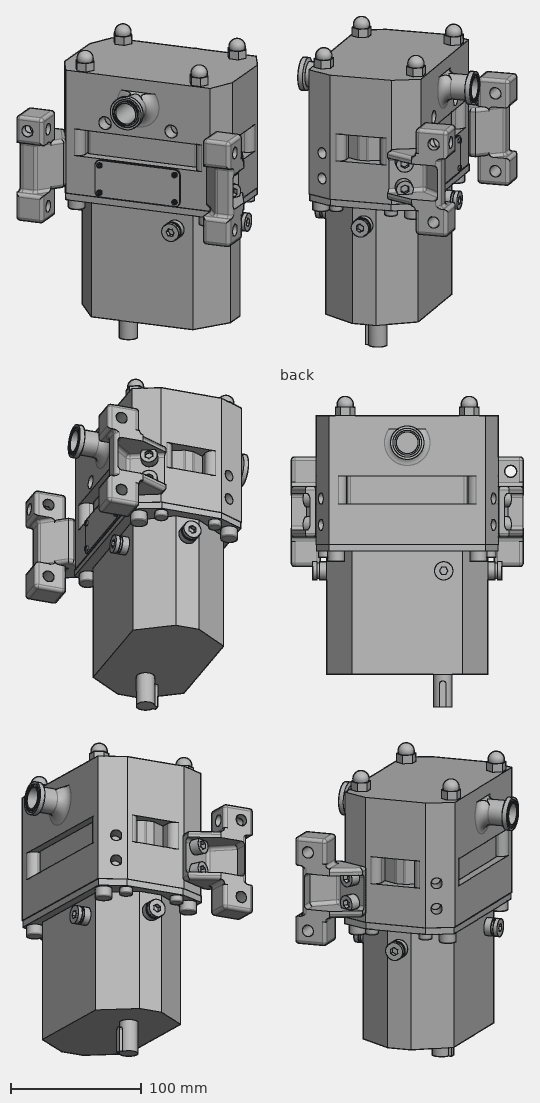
import cadquery as cq
import math


HEAD_HALF_X = 69.75
HEAD_HALF_Y = 45.0
HEAD_FRONT_HALF_X = 60.0
HEAD_SIDE_HALF_Y = 24.7
HEAD_TOP = 103.7
FLANGE_THICKNESS = 5.2
FLANGE_HALF_X = 69.5
FLANGE_SIDE_FRONT_Y = -24.1
FLANGE_FRONT_Y = -45.5
FLANGE_BACK_Y = 44.4

GEARBOX_HALF_X = 61.6
GEARBOX_HALF_Y = 37.2
GEARBOX_FRONT_HALF_X = 42.2
GEARBOX_SIDE_HALF_Y = 9.5
GEARBOX_LENGTH = 94.2
SHAFT_X = -27.2
SHAFT_DIAMETER = 14.3
SHAFT_LENGTH = 25.0
KEY_WIDTH = 5.0
KEY_LENGTH = 20.0
KEY_TOP_Y = 9.2

WINDOW_BOTTOM = 36.1
WINDOW_TOP = 57.4
FRONT_WINDOW_HALF = 52.7
SIDE_WINDOW_HALF = 20.0
WINDOW_ROUND = 6.3
CORE_HALF_X = 62.5
CORE_HALF_Y = 37.2
CORE_FRONT_HALF_X = 45.0
CORE_SIDE_HALF_Y = 3.6
CORE_OFFSET_Y = 1.0
CORE_EDGE_RADIUS = 2.5

FACE_HOLE_X = 27.5
FACE_HOLE_Z = 65.2
FACE_HOLE_DIAMETER = 10.2
FACE_HOLE_DEPTH = 12.0
PLATE_LENGTH = 70.2
PLATE_HEIGHT = 29.6
PLATE_Z = 20.5
PLATE_THICKNESS = 1.4
PLATE_CORNER_RADIUS = 4.0
PLATE_SCREW_X = 31.2
PLATE_SCREW_DZ = 10.9
PLATE_SCREW_DIAMETER = 4.0
PLATE_SCREW_HEIGHT = 1.4
PLATE_SCREW_HEX = 2.0
PLATE_SCREW_HEX_DEPTH = 1.0

PORT_Z = 83.0
PORT_REACH = 69.05
PORT_TUBE_RADIUS = 9.8
PORT_BORE_RADIUS = 8.3
PORT_BORE_DEPTH = 35.0
PORT_FLARE_RADIUS = 7.6
PORT_FLARE_TOP = 10.4
CLAMP_RADIUS = 12.8
CLAMP_RIM = 3.9
CLAMP_TAPER = 1.0
CLAMP_GROOVE_OUTER = 11.0
CLAMP_GROOVE_INNER = 9.5
CLAMP_GROOVE_DEPTH = 1.2

NUT_X = 47.45
BOLT_ROW_Y = 37.0
NUT_FLATS = 13.0
NUT_HEX_HEIGHT = 6.6
NUT_DOME_RADIUS = 6.3
NUT_HEIGHT = 14.8
LARGE_BOLT_X = 54.4
LARGE_BOLT_DIAMETER = 13.0
LARGE_BOLT_HEIGHT = 8.0
SMALL_BOLT_X = 63.0
SMALL_BOLT_Y = 22.0
SMALL_BOLT_DIAMETER = 10.0
SMALL_BOLT_HEIGHT = 5.0
BOLT_EDGE_RADIUS = 0.8
PLUG_X = 27.9
PLUG_Z = -15.0
PLUG_DIAMETER = 14.0
PLUG_REACH = 10.8
PLUG_NECK_DIAMETER = 12.0
PLUG_NECK_START = 5.5
PLUG_NECK_END = 7.3
PLUG_HEX = 6.4
PLUG_HEX_DEPTH = 4.0

FOOT_BOLT_Y = 32.4
FOOT_BOLT_DZ = 10.05
FOOT_BOLT_DIAMETER = 8.5
FOOT_BOLT_DEPTH = 15.0
FOOT_BOLT_HEAD_DIAMETER = 13.0
FOOT_BOLT_HEAD_HEIGHT = 8.0
FOOT_BOLT_HEX = 6.9
FOOT_BOLT_HEX_DEPTH = 4.0

FOOT_MID_Z = 30.2
FOOT_OUTER_X = -88.8
ARM_HALF_HEIGHT = 19.4
ARM_TIP_X = -78.0
ARM_TIP_Y = -23.9
ARM_SHOULDER_Y = -46.8
ARM_NOSE_X = -59.3
ARM_NOSE_Y = -50.9
ARM_FRONT_X = -74.9
ARM_FRONT_Y = -69.6
ARM_EDGE_RADIUS = 2.8
ARM_CORNER_RADIUS = 3.5
POCKET_HALF_HEIGHT = 14.0
POCKET_WALL = 4.0
POCKET_OBLIQUE_WALL = 3.2
POCKET_FRONT_WALL = 2.3
POCKET_RADIUS = 3.0
BLOCK_INNER_X = -66.4
BLOCK_BACK_Y = -49.7
BLOCK_FRONT_Y = -75.26
BLOCK_TOP = 42.05
BLOCK_UNDERSIDE = 20.0
BLOCK_RADIUS = 2.8
LEG_RADIUS = 2.4
BLOCK_HOLE_DIAMETER = 9.0
BLOCK_HOLE_Y = -64.4
BLOCK_HOLE_DZ = 30.9
FRONT_HOLE_X = -79.1


def octagon(half_x, half_y, flat_half_x, flat_half_y):
    """Corner points of a rectangle with its four corners cut off."""
    return [
        (-flat_half_x, -half_y), (flat_half_x, -half_y),
        (half_x, -flat_half_y), (half_x, flat_half_y),
        (flat_half_x, half_y), (-flat_half_x, half_y),
        (-half_x, flat_half_y), (-half_x, -flat_half_y),
    ]


def prism(points, bottom, top):
    """Upright prism over a closed outline between two heights."""
    return cq.Workplane("XY").workplane(offset=bottom).polyline(points).close().extrude(top - bottom)


SLANT_X = HEAD_HALF_X - HEAD_FRONT_HALF_X
SLANT_Y = HEAD_HALF_Y - HEAD_SIDE_HALF_Y
SLANT_LENGTH = math.hypot(SLANT_X, SLANT_Y)
SLANT_NORMAL = (-SLANT_Y / SLANT_LENGTH, -SLANT_X / SLANT_LENGTH)


def slant_x(y):
    """X of the slanted front left face, carried on in a straight line, at a given Y."""
    return -HEAD_FRONT_HALF_X - SLANT_X * (y + HEAD_HALF_Y) / SLANT_Y


def foot_bolt_planes():
    """Planes on the front left slanted face, facing outward, one for each foot bolt."""
    return [
        cq.Plane(
            origin=(slant_x(-FOOT_BOLT_Y), -FOOT_BOLT_Y, FOOT_MID_Z + dz),
            xDir=(0, 0, 1),
            normal=(SLANT_NORMAL[0], SLANT_NORMAL[1], 0),
        )
        for dz in (-FOOT_BOLT_DZ, FOOT_BOLT_DZ)
    ]


def foot_bolt_shank(plane):
    return cq.Workplane(plane).circle(FOOT_BOLT_DIAMETER / 2).extrude(-FOOT_BOLT_DEPTH)


def window(half_width, face_distance):
    """Window cutter entering from -Y, its end walls rounded outward where they meet the face."""
    inner = half_width - WINDOW_ROUND
    start = -face_distance
    return (
        cq.Workplane("XY").workplane(offset=WINDOW_BOTTOM)
        .moveTo(-inner, 0)
        .lineTo(-inner, start + WINDOW_ROUND)
        .radiusArc((-half_width, start), WINDOW_ROUND)
        .lineTo(half_width, start)
        .radiusArc((inner, start + WINDOW_ROUND), WINDOW_ROUND)
        .lineTo(inner, 0)
        .close()
        .extrude(WINDOW_TOP - WINDOW_BOTTOM)
    )


def core():
    """Inner core that closes the back of the four windows."""
    points = octagon(CORE_HALF_X, CORE_HALF_Y, CORE_FRONT_HALF_X, CORE_SIDE_HALF_Y)
    block = prism(points, WINDOW_BOTTOM, WINDOW_TOP).edges("|Z").fillet(CORE_EDGE_RADIUS)
    return block.translate((0, CORE_OFFSET_Y, 0))


def head():
    body = prism(
        octagon(HEAD_HALF_X, HEAD_HALF_Y, HEAD_FRONT_HALF_X, HEAD_SIDE_HALF_Y), FLANGE_THICKNESS, HEAD_TOP
    )
    cutters = []
    for turn in (0, 180):
        cutters.append(window(FRONT_WINDOW_HALF, HEAD_HALF_Y).rotate((0, 0, 0), (0, 0, 1), turn))
        cutters.append(window(SIDE_WINDOW_HALF, HEAD_HALF_X).rotate((0, 0, 0), (0, 0, 1), turn + 90))
    for cutter in cutters:
        body = body.cut(cutter.cut(core()))
    holes = (
        cq.Workplane("XZ", origin=(0, -HEAD_HALF_Y, 0))
        .pushPoints([(-FACE_HOLE_X, FACE_HOLE_Z), (FACE_HOLE_X, FACE_HOLE_Z)])
        .circle(FACE_HOLE_DIAMETER / 2).extrude(-FACE_HOLE_DEPTH)
    )
    body = body.cut(holes)
    for plane in foot_bolt_planes():
        front_left = foot_bolt_shank(plane)
        front_pair = front_left.union(front_left.mirror("YZ"))
        body = body.cut(front_pair).cut(front_pair.mirror("XZ"))
    return body


def flange():
    points = [
        (-HEAD_FRONT_HALF_X, FLANGE_FRONT_Y), (HEAD_FRONT_HALF_X, FLANGE_FRONT_Y),
        (FLANGE_HALF_X, FLANGE_SIDE_FRONT_Y), (FLANGE_HALF_X, HEAD_SIDE_HALF_Y),
        (HEAD_FRONT_HALF_X, FLANGE_BACK_Y), (-HEAD_FRONT_HALF_X, FLANGE_BACK_Y),
        (-FLANGE_HALF_X, HEAD_SIDE_HALF_Y), (-FLANGE_HALF_X, FLANGE_SIDE_FRONT_Y),
    ]
    return prism(points, 0, FLANGE_THICKNESS)


def gearbox():
    points = octagon(GEARBOX_HALF_X, GEARBOX_HALF_Y, GEARBOX_FRONT_HALF_X, GEARBOX_SIDE_HALF_Y)
    return prism(points, -GEARBOX_LENGTH, 0)


def shaft():
    end = -GEARBOX_LENGTH - SHAFT_LENGTH
    rod = (
        cq.Workplane("XY", origin=(SHAFT_X, 0, end)).circle(SHAFT_DIAMETER / 2).extrude(SHAFT_LENGTH)
    )
    straight = KEY_LENGTH - KEY_WIDTH / 2
    key = (
        cq.Workplane("XZ", origin=(SHAFT_X, 0, end))
        .moveTo(-KEY_WIDTH / 2, 0).lineTo(KEY_WIDTH / 2, 0).lineTo(KEY_WIDTH / 2, straight)
        .threePointArc((0, KEY_LENGTH), (-KEY_WIDTH / 2, straight))
        .close().extrude(-KEY_TOP_Y)
    )
    return rod.union(key)


def name_plate():
    plane = cq.Workplane("XZ", origin=(0, -HEAD_HALF_Y, PLATE_Z))
    plate = plane.rect(PLATE_LENGTH, PLATE_HEIGHT).extrude(PLATE_THICKNESS)
    plate = plate.edges("|Y").fillet(PLATE_CORNER_RADIUS)
    screws = (
        plane.workplane(offset=PLATE_THICKNESS)
        .rect(2 * PLATE_SCREW_X, 2 * PLATE_SCREW_DZ, forConstruction=True).vertices()
        .circle(PLATE_SCREW_DIAMETER / 2).extrude(PLATE_SCREW_HEIGHT)
    )
    sockets = (
        plane.workplane(offset=PLATE_THICKNESS + PLATE_SCREW_HEIGHT)
        .rect(2 * PLATE_SCREW_X, 2 * PLATE_SCREW_DZ, forConstruction=True).vertices()
        .polygon(6, PLATE_SCREW_HEX).extrude(-PLATE_SCREW_HEX_DEPTH)
    )
    return plate.union(screws).cut(sockets)


def port():
    """Front port: flared neck, tube and grooved clamp rim, revolved about its own axis."""
    reach = PORT_REACH - HEAD_HALF_Y
    flare_outer = PORT_TUBE_RADIUS + PORT_FLARE_RADIUS
    rim_back = reach - CLAMP_RIM
    neck = (
        cq.Workplane("XY")
        .moveTo(0, 0).lineTo(flare_outer, 0)
        .radiusArc((PORT_TUBE_RADIUS, PORT_FLARE_RADIUS), PORT_FLARE_RADIUS)
        .lineTo(0, PORT_FLARE_RADIUS).close()
        .revolve(360, (0, 0), (0, 1))
    )
    trim_end_z = math.sqrt(PORT_FLARE_TOP ** 2 - PORT_FLARE_RADIUS ** 2)
    trim = (
        cq.Workplane("YZ", origin=(-flare_outer, 0, 0))
        .moveTo(0, PORT_FLARE_TOP)
        .radiusArc((PORT_FLARE_RADIUS, trim_end_z), PORT_FLARE_TOP)
        .lineTo(PORT_FLARE_RADIUS, flare_outer).lineTo(0, flare_outer)
        .close().extrude(2 * flare_outer)
    )
    tube = (
        cq.Workplane("XY")
        .moveTo(0, 0).lineTo(PORT_TUBE_RADIUS, 0)
        .lineTo(PORT_TUBE_RADIUS, rim_back - CLAMP_TAPER)
        .lineTo(CLAMP_RADIUS, rim_back).lineTo(CLAMP_RADIUS, reach)
        .lineTo(CLAMP_GROOVE_OUTER, reach).lineTo(CLAMP_GROOVE_OUTER, reach - CLAMP_GROOVE_DEPTH)
        .lineTo(CLAMP_GROOVE_INNER, reach - CLAMP_GROOVE_DEPTH).lineTo(CLAMP_GROOVE_INNER, reach)
        .lineTo(0, reach).close()
        .revolve(360, (0, 0), (0, 1))
    )
    nozzle = neck.cut(trim).union(tube)
    return nozzle.mirror("XZ").translate((0, -HEAD_HALF_Y, PORT_Z))


def port_bore():
    return (
        cq.Workplane("XZ", origin=(0, -PORT_REACH, PORT_Z))
        .circle(PORT_BORE_RADIUS).extrude(-PORT_BORE_DEPTH)
    )


def cap_nut():
    """Domed hexagon nut standing on Z = 0."""
    hexagon = cq.Workplane("XY").polygon(6, NUT_FLATS / math.cos(math.pi / 6)).extrude(NUT_HEX_HEIGHT)
    dome = cq.Workplane("XY", origin=(0, 0, NUT_HEIGHT - NUT_DOME_RADIUS)).sphere(NUT_DOME_RADIUS)
    return hexagon.union(dome)


def flange_bolt(diameter, height):
    """Round bolt head hanging below Z = 0."""
    bolt_head = cq.Workplane("XY").circle(diameter / 2).extrude(-height)
    return bolt_head.faces("<Z").edges().fillet(BOLT_EDGE_RADIUS)


def plug():
    """Gearbox screw plug pointing to +Z, with a neck groove and a hexagon socket."""
    return (
        cq.Workplane("XY").circle(PLUG_DIAMETER / 2).extrude(PLUG_NECK_START)
        .faces(">Z").workplane().circle(PLUG_NECK_DIAMETER / 2).extrude(PLUG_NECK_END - PLUG_NECK_START)
        .faces(">Z").workplane().circle(PLUG_DIAMETER / 2).extrude(PLUG_REACH - PLUG_NECK_END)
        .faces(">Z").workplane().polygon(6, PLUG_HEX).cutBlind(-PLUG_HEX_DEPTH)
    )


def front_plug():
    tipped = plug().rotate((0, 0, 0), (1, 0, 0), 90)
    return tipped.translate((PLUG_X, -GEARBOX_HALF_Y, PLUG_Z))


def side_plug():
    tipped = plug().rotate((0, 0, 0), (0, 1, 0), 90)
    return tipped.translate((GEARBOX_HALF_X, 0, PLUG_Z))


def make_pump():
    pump = head().union(flange()).union(gearbox()).union(shaft()).union(name_plate())
    for x_side in (-1, 1):
        for y_side in (-1, 1):
            pump = pump.union(cap_nut().translate((x_side * NUT_X, y_side * BOLT_ROW_Y, HEAD_TOP)))
            large_bolt = flange_bolt(LARGE_BOLT_DIAMETER, LARGE_BOLT_HEIGHT)
            pump = pump.union(large_bolt.translate((x_side * LARGE_BOLT_X, y_side * BOLT_ROW_Y, 0)))
            small_bolt = flange_bolt(SMALL_BOLT_DIAMETER, SMALL_BOLT_HEIGHT)
            pump = pump.union(small_bolt.translate((x_side * SMALL_BOLT_X, y_side * SMALL_BOLT_Y, 0)))
    for turn in (0, 180):
        for fitting in (front_plug(), side_plug()):
            pump = pump.union(fitting.rotate((0, 0, 0), (0, 0, 1), turn))
    pump = pump.union(port()).union(port().mirror("XZ"))
    return pump.cut(port_bore()).cut(port_bore().mirror("XZ"))


def line_crossing(point_a, direction_a, point_b, direction_b):
    """Point where two lines in the XY plane cross."""
    cross = direction_a[0] * direction_b[1] - direction_a[1] * direction_b[0]
    gap_x = point_b[0] - point_a[0]
    gap_y = point_b[1] - point_a[1]
    step = (gap_x * direction_b[1] - gap_y * direction_b[0]) / cross
    return (point_a[0] + step * direction_a[0], point_a[1] + step * direction_a[1])


def foot_profile(bottom, top):
    """Square-edged left foot arm between two heights; it lies against the slanted face of the head."""
    nose_top_y = -HEAD_HALF_Y - SLANT_Y * (ARM_NOSE_X + HEAD_FRONT_HALF_X) / SLANT_X
    points = [
        (ARM_TIP_X, ARM_TIP_Y), (slant_x(ARM_TIP_Y), ARM_TIP_Y),
        (ARM_NOSE_X, nose_top_y), (ARM_NOSE_X, ARM_NOSE_Y),
        (ARM_FRONT_X, ARM_FRONT_Y), (FOOT_OUTER_X, ARM_FRONT_Y),
        (FOOT_OUTER_X, ARM_SHOULDER_Y),
    ]
    return prism(points, bottom, top).edges("|Z and <Y").fillet(ARM_CORNER_RADIUS)


def foot_arm():
    arm = foot_profile(FOOT_MID_Z - ARM_HALF_HEIGHT, FOOT_MID_Z + ARM_HALF_HEIGHT)
    return arm.faces("<Z or >Z").edges().fillet(ARM_EDGE_RADIUS)


def foot_pocket():
    """Pocket open to the outer side, leaving a slanted, an oblique and a front wall."""
    slant_direction = (SLANT_X, -SLANT_Y)
    slant_start = (
        -HEAD_FRONT_HALF_X + POCKET_WALL * SLANT_NORMAL[0],
        -HEAD_HALF_Y + POCKET_WALL * SLANT_NORMAL[1],
    )
    oblique_x = ARM_FRONT_X - ARM_NOSE_X
    oblique_y = ARM_FRONT_Y - ARM_NOSE_Y
    oblique_length = math.hypot(oblique_x, oblique_y)
    oblique_direction = (oblique_x, oblique_y)
    oblique_start = (
        ARM_NOSE_X + POCKET_OBLIQUE_WALL * oblique_y / oblique_length,
        ARM_NOSE_Y - POCKET_OBLIQUE_WALL * oblique_x / oblique_length,
    )
    along_x = (1, 0)
    front_y = ARM_FRONT_Y + POCKET_FRONT_WALL
    back_y = ARM_TIP_Y + 2 * POCKET_RADIUS
    outside_x = 2 * FOOT_OUTER_X - BLOCK_INNER_X
    back_corner = line_crossing(slant_start, slant_direction, (0, back_y), along_x)
    nose_corner = line_crossing(slant_start, slant_direction, oblique_start, oblique_direction)
    front_corner = line_crossing(oblique_start, oblique_direction, (0, front_y), along_x)
    points = [back_corner, nose_corner, front_corner, (outside_x, front_y), (outside_x, back_y)]
    pocket = prism(points, FOOT_MID_Z - POCKET_HALF_HEIGHT, FOOT_MID_Z + POCKET_HALF_HEIGHT)
    nose_edge = cq.selectors.NearestToPointSelector((nose_corner[0], nose_corner[1], FOOT_MID_Z))
    pocket = pocket.edges(nose_edge).fillet(POCKET_RADIUS)
    return pocket.faces("<Z or >Z").edges().fillet(POCKET_RADIUS)


def foot_block():
    """Upper clamping block of the left foot, on a leg that joins it to the arm."""
    size_x = BLOCK_INNER_X - FOOT_OUTER_X
    size_y = BLOCK_BACK_Y - BLOCK_FRONT_Y
    underside = FOOT_MID_Z + BLOCK_UNDERSIDE
    block = cq.Workplane("XY").box(size_x, size_y, BLOCK_TOP - BLOCK_UNDERSIDE, centered=False)
    block = block.translate((FOOT_OUTER_X, BLOCK_FRONT_Y, underside))
    block = block.edges("|Z or >Z or (<Z and <Y)").fillet(BLOCK_RADIUS)
    leg_bottom = FOOT_MID_Z + POCKET_HALF_HEIGHT
    leg_height = BLOCK_UNDERSIDE + BLOCK_RADIUS - POCKET_HALF_HEIGHT
    leg_limits = cq.Workplane("XY").box(size_x, size_y, leg_height, centered=False)
    leg_limits = leg_limits.translate((FOOT_OUTER_X, BLOCK_FRONT_Y, leg_bottom))
    leg_limits = leg_limits.edges("|Z and >Y and >X").fillet(BLOCK_RADIUS)
    leg = foot_profile(leg_bottom, leg_bottom + leg_height).intersect(leg_limits)
    joined = block.union(leg)
    tolerance = 0.1
    overhang_edges = cq.selectors.BoxSelector(
        (FOOT_OUTER_X + tolerance, ARM_FRONT_Y - tolerance, underside - tolerance),
        (BLOCK_INNER_X - tolerance, BLOCK_BACK_Y - BLOCK_RADIUS, underside + tolerance),
    )
    joined = joined.edges(overhang_edges).fillet(LEG_RADIUS)
    return joined.union(foot_gusset(leg_bottom))


def foot_gusset(bottom):
    """Hollow-faced gusset behind the upper block, standing on the arm."""
    arm_top = FOOT_MID_Z + ARM_HALF_HEIGHT
    radius = ARM_SHOULDER_Y - BLOCK_BACK_Y
    inside_y = BLOCK_BACK_Y - BLOCK_RADIUS
    return (
        cq.Workplane("YZ", origin=(FOOT_OUTER_X, 0, 0))
        .moveTo(inside_y, bottom).lineTo(ARM_SHOULDER_Y, bottom).lineTo(ARM_SHOULDER_Y, arm_top)
        .radiusArc((BLOCK_BACK_Y, arm_top + radius), radius)
        .lineTo(inside_y, arm_top + radius).close()
        .extrude(BLOCK_INNER_X - BLOCK_RADIUS - FOOT_OUTER_X)
    )


def foot_bolt(plane):
    """Shank in the head and socket head above the pocket wall."""
    head_top = POCKET_WALL + FOOT_BOLT_HEAD_HEIGHT
    shank = foot_bolt_shank(plane)
    bolt_head = cq.Workplane(plane).circle(FOOT_BOLT_HEAD_DIAMETER / 2).extrude(head_top)
    return shank.union(bolt_head)


def foot_bolt_socket(plane):
    head_top = POCKET_WALL + FOOT_BOLT_HEAD_HEIGHT
    top_plane = cq.Workplane(plane).workplane(offset=head_top)
    return top_plane.polygon(6, FOOT_BOLT_HEX).extrude(-FOOT_BOLT_HEX_DEPTH)


def foot_block_holes():
    centres = [(BLOCK_HOLE_Y, FOOT_MID_Z + dz) for dz in (-BLOCK_HOLE_DZ, BLOCK_HOLE_DZ)]
    return (
        cq.Workplane("YZ", origin=(FOOT_OUTER_X, 0, 0))
        .pushPoints(centres).circle(BLOCK_HOLE_DIAMETER / 2).extrude(BLOCK_INNER_X - FOOT_OUTER_X)
    )


def make_foot():
    """Foot on the -X side with its two bolts."""
    foot = foot_arm().cut(foot_pocket())
    upper_block = foot_block()
    foot = foot.union(upper_block)
    foot = foot.union(upper_block.mirror("XY", (0, 0, FOOT_MID_Z)))
    foot = foot.cut(foot_block_holes())
    for plane in foot_bolt_planes():
        foot = foot.union(foot_bolt(plane))
        foot = foot.cut(foot_bolt_socket(plane))
    return foot


def front_hole():
    """Hole along Y through the upper block of the left foot only."""
    return (
        cq.Workplane("XZ", origin=(0, BLOCK_FRONT_Y, 0))
        .center(FRONT_HOLE_X, FOOT_MID_Z + BLOCK_HOLE_DZ)
        .circle(BLOCK_HOLE_DIAMETER / 2).extrude(BLOCK_FRONT_Y - BLOCK_BACK_Y)
    )


pump = make_pump()
plain_foot = make_foot()
left_foot = plain_foot.cut(front_hole())
right_foot = plain_foot.mirror("YZ")
result = cq.Compound.makeCompound([pump.val(), left_foot.val(), right_foot.val()])